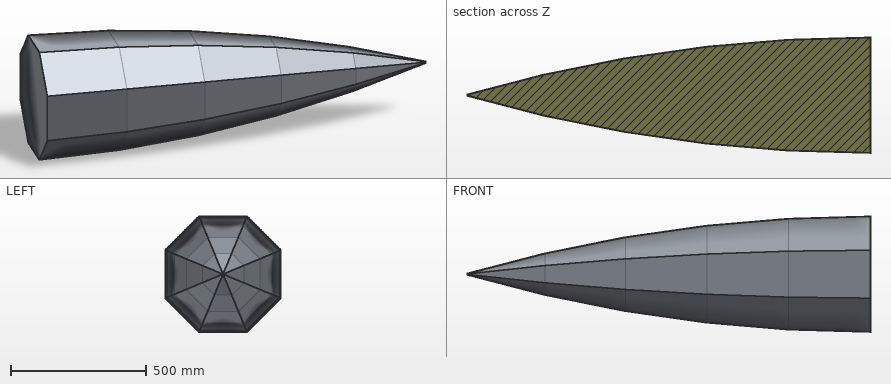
import cadquery as cq
import math

LENGTH = 1492.0
BASE_WIDTH = 428.0
TIP_CUT = 9.0
SIDES = 8
SEGMENTS = 5

base_apothem = BASE_WIDTH / 2
sharp_length = LENGTH + TIP_CUT
ogive_radius = (base_apothem**2 + sharp_length**2) / (2 * base_apothem)
ogive_angle = math.asin(sharp_length / ogive_radius)


def ring(angle):
    """Octagon corners at an arc angle measured from the base toward the tip."""
    x = LENGTH - ogive_radius * math.sin(angle)
    apothem = base_apothem - ogive_radius * (1 - math.cos(angle))
    corner_radius = apothem / math.cos(math.pi / SIDES)
    corners = []
    for side in range(SIDES):
        turn = 2 * math.pi * (side + 0.5) / SIDES
        y = corner_radius * math.cos(turn)
        z = corner_radius * math.sin(turn)
        corners.append(cq.Vector(x, y, z))
    return corners


def flat_face(corners):
    return cq.Face.makeFromWires(cq.Wire.makePolygon(corners, close=True))


nose_angle = math.asin(LENGTH / ogive_radius)
ring_angles = [ogive_angle * step / SEGMENTS for step in range(SEGMENTS)] + [nose_angle]
rings = [ring(angle) for angle in ring_angles]

faces = [flat_face(rings[0]), flat_face(rings[-1])]
for side in range(SIDES):
    following = (side + 1) % SIDES
    for rear, front in zip(rings, rings[1:]):
        faces.append(flat_face([rear[side], rear[following], front[following], front[side]]))

result = cq.Workplane(obj=cq.Solid.makeSolid(cq.Shell.makeShell(faces)))